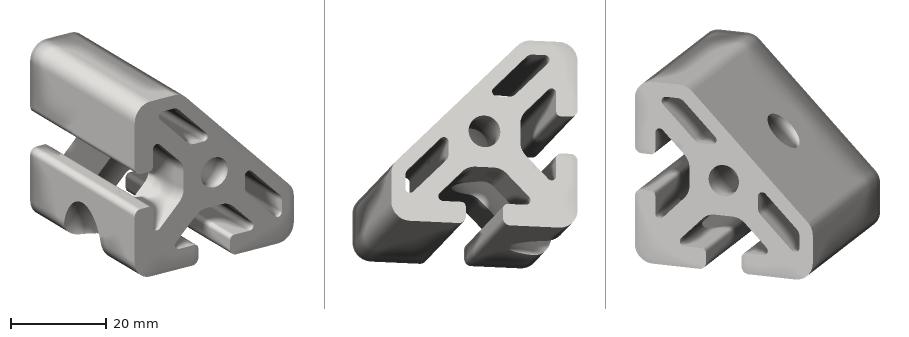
import cadquery as cq
import math

size = 40.0
half = size / 2
corner_radius = 4.0
diagonal_reach = half * math.tan(math.radians(45 / 2))

slot_half_width = 4.0
lip_thickness = 4.6
lip_outer_radius = 1.5
lip_inner_radius = 1.0
slot_floor = 7.7
slot_floor_radius = 4.0
slot_tip_radius = 1.0
spoke_half_width = 2.9

chamber_wall = 3.0
chamber_rib = 4.05
chamber_tip_radius = 1.0
chamber_bend_radius = 2.0

core_diameter = 6.8
bolt_diameter = 9.0
counterbore_diameter = 15.0
seat_offset = 3.6

root_two = math.sqrt(2)


def swap_axes(corners):
    """Mirror (y, z, radius) corners across the y = z plane, keeping the turning direction."""
    return [(z, y, radius) for y, z, radius in reversed(corners)]


def rounded_outline(corners):
    """Closed YZ outline through (y, z, radius) corners, each rounded by its radius."""
    arcs = []
    for i, (y, z, radius) in enumerate(corners):
        corner = cq.Vector(y, z)
        to_previous = (cq.Vector(*corners[i - 1][:2]) - corner).normalized()
        to_next = (cq.Vector(*corners[(i + 1) % len(corners)][:2]) - corner).normalized()
        half_angle = to_previous.getAngle(to_next) / 2
        tangent_length = radius / math.tan(half_angle)
        middle_distance = radius / math.sin(half_angle) - radius
        bisector = (to_previous + to_next).normalized()
        start = corner + to_previous * tangent_length
        middle = corner + bisector * middle_distance
        end = corner + to_next * tangent_length
        arcs.append([(point.x, point.y) for point in (start, middle, end)])

    outline = cq.Workplane("YZ", origin=(-half, 0, 0)).moveTo(*arcs[0][0])
    outline = outline.threePointArc(*arcs[0][1:])
    for start, middle, end in arcs[1:]:
        outline = outline.lineTo(*start).threePointArc(middle, end)
    return outline.close()


def make_body():
    """Solid extrusion with its slanted face and both T-slots."""
    lip_inside = half - lip_thickness
    slot_slope_shift = spoke_half_width * root_two
    floor_half_width = slot_floor - slot_slope_shift
    slot_tip = lip_inside - slot_slope_shift
    lower_slot_half = [
        (-half, -slot_half_width, lip_outer_radius),
        (-lip_inside, -slot_half_width, lip_inner_radius),
        (-lip_inside, -slot_tip, slot_tip_radius),
        (-slot_floor, -floor_half_width, slot_floor_radius),
    ]
    upper_slot_half = [(y, -z, radius) for y, z, radius in reversed(lower_slot_half)]
    side = lower_slot_half + upper_slot_half + [
        (-half, half, corner_radius),
        (-diagonal_reach, half, corner_radius),
    ]
    outer_corner = [(-half, -half, corner_radius)]
    return rounded_outline(outer_corner + side + swap_axes(side)).extrude(size)


def make_chambers():
    """The two slanted hollow chambers, mirror images across the y = z plane."""
    outer_sum = (diagonal_reach - chamber_wall) * root_two
    inner_sum = (chamber_rib - spoke_half_width) * root_two
    top = half - chamber_wall
    bottom = slot_floor
    upper = [
        (outer_sum - bottom, bottom, chamber_tip_radius),
        (inner_sum - bottom, bottom, chamber_bend_radius),
        (inner_sum - top, top, chamber_tip_radius),
        (outer_sum - top, top, chamber_bend_radius),
    ]
    upper_chamber = rounded_outline(upper).extrude(size)
    lower_chamber = rounded_outline(swap_axes(upper)).extrude(size)
    return upper_chamber.union(lower_chamber)


def make_core_hole():
    """Hole along X through the centre of the section."""
    return cq.Workplane("YZ", origin=(-half, 0, 0)).circle(core_diameter / 2).extrude(size)


def make_counterbored_hole():
    """Bolt hole square to the slanted face, counterbored from the opposite corner."""
    axis = cq.Plane(origin=(0, 0, 0), xDir=(1, 0, 0), normal=(0, 1, 1))
    seat = cq.Workplane(axis).workplane(offset=seat_offset)
    bolt_hole = seat.circle(bolt_diameter / 2).extrude(size)
    counterbore = seat.circle(counterbore_diameter / 2).extrude(-size)
    return bolt_hole.union(counterbore)


result = (
    make_body()
    .cut(make_chambers())
    .cut(make_core_hole())
    .cut(make_counterbored_hole())
)